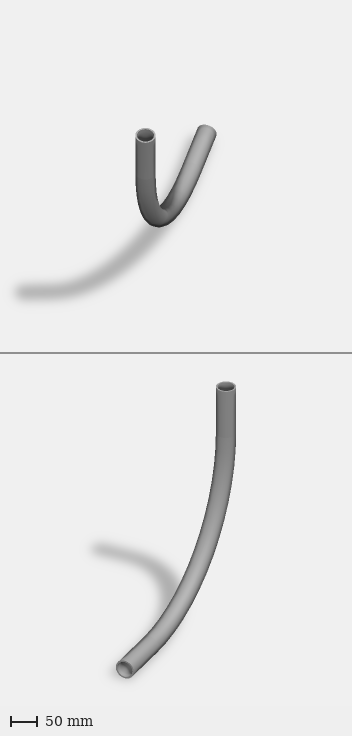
import cadquery as cq
import math

overall_length = 425.5
outer_diameter = 38.5
inner_diameter = 32.0
straight_length = 101.3

leg_reach = overall_length - outer_diameter / 2
bend_radius = leg_reach - straight_length
bend_mid_offset = bend_radius * (1 - math.sqrt(0.5))


def swept_rod(diameter):
    """Solid round rod following the elbow centreline."""
    centreline = (
        cq.Workplane("YZ")
        .moveTo(0, leg_reach)
        .lineTo(0, bend_radius)
        .threePointArc((bend_mid_offset, bend_mid_offset), (bend_radius, 0))
        .lineTo(leg_reach, 0)
    )
    start_plane = cq.Workplane("XY").workplane(offset=leg_reach)
    return start_plane.circle(diameter / 2).sweep(centreline)


result = swept_rod(outer_diameter).cut(swept_rod(inner_diameter))